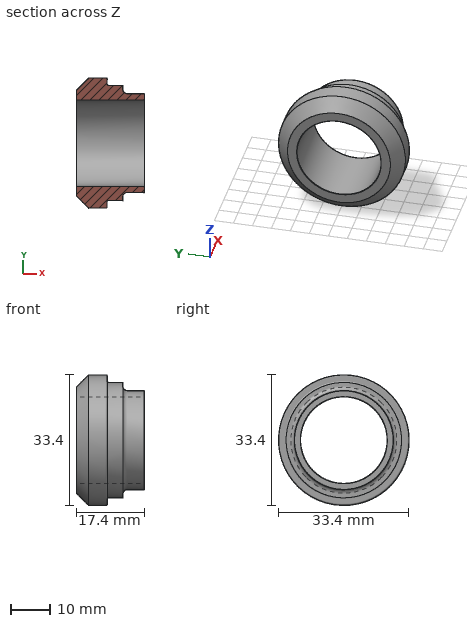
import cadquery as cq

bore_diameter = 22.1
spigot_diameter = 25.4
shoulder_diameter = 33.43
collar_diameter = 29.52

overall_length = 17.45
shoulder_end = 7.95
collar_end = 11.92

cone_size = 3.17
shoulder_round = 0.4
collar_root_fillet = 0.3
spigot_root_fillet = 1.1
edge_break = 0.1


def disc(diameter, start, end):
    """Solid cylinder about the X axis between two axial positions."""
    return cq.Workplane("YZ").workplane(offset=start).circle(diameter / 2).extrude(end - start)


def edge_at(x, diameter):
    """Selector for the circular edge of a given diameter at axial position x."""
    tolerance = 0.02
    reach = diameter / 2 + tolerance
    return cq.selectors.BoxSelector(
        (x - tolerance, -reach, -reach),
        (x + tolerance, reach, reach),
        boundingbox=True,
    )


def stepped_body():
    """Shoulder, collar and spigot in one piece, with all outer edges finished."""
    body = disc(shoulder_diameter, 0, shoulder_end)
    body = body.union(disc(collar_diameter, shoulder_end, collar_end))
    body = body.union(disc(spigot_diameter, collar_end, overall_length))

    body = body.edges(edge_at(collar_end, spigot_diameter)).fillet(spigot_root_fillet)
    body = body.edges(edge_at(shoulder_end, collar_diameter)).fillet(collar_root_fillet)
    body = body.edges(edge_at(shoulder_end, shoulder_diameter)).fillet(shoulder_round)
    body = body.faces("<X").edges().chamfer(cone_size)
    return body.faces(">X").edges().chamfer(edge_break)


def cut_bore(body):
    """Through bore with a small chamfer at the cone face."""
    bored = body.cut(disc(bore_diameter, 0, overall_length))
    return bored.edges(edge_at(0, bore_diameter)).chamfer(edge_break)


result = cut_bore(stepped_body())